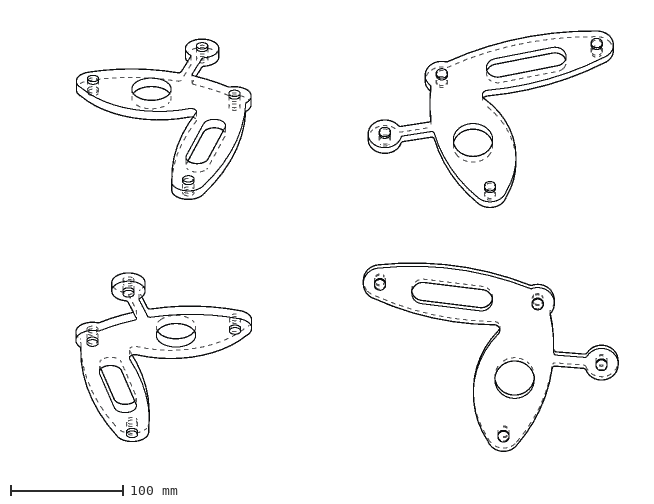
import cadquery as cq
import math

LEFT_PIN = (0, 0)
TOP_PIN = (80.0, 100.0)
RIGHT_PIN = (180.2, 0)
ARM_PIN = (0, 110.0)

PLATE_THICKNESS = 9.2
PIN_LENGTH = 15.0
PIN_DIAMETER = 10.0
END_RADIUS = 15.0

LEFT_OUTER_RADIUS = 144.7
LEFT_OUTER_ANGLE = -12.8
LEFT_INNER_RADIUS = 82.7
LEFT_INNER_ANGLE = 92.5
RIGHT_OUTER_RADIUS = 270.5
RIGHT_OUTER_ANGLE = 211
RIGHT_INNER_RADIUS = 253.5
RIGHT_INNER_ANGLE = 63.4
LEFT_INNER_INSET = 0.5
RIGHT_INNER_INSET = 0.1

ARM_WIDTH = 10.5
ARM_OVERLAP = 8.5
HOLE_CENTER = (35.7, 40)
HOLE_DIAMETER = 35.0
SLOT_START = (113.0, 62.0)
SLOT_END = (150.0, 25.0)
SLOT_WIDTH = 20.0
ARM_FILLET = 2.5
NOTCH_FILLET = 5.0
SHOULDER_FILLET = 1.0


def polar(center, radius, angle):
    """Point at a distance and angle (degrees) from a centre."""
    turn = math.radians(angle)
    return (center[0] + radius * math.cos(turn), center[1] + radius * math.sin(turn))


def direction(start, end):
    """Angle in degrees of the line from start to end."""
    return math.degrees(math.atan2(end[1] - start[1], end[0] - start[0]))


def crossing(center_a, radius_a, center_b, radius_b):
    """The crossing of two circles that lies left of the line from a to b."""
    gap = math.dist(center_a, center_b)
    along = (radius_a**2 - radius_b**2 + gap**2) / (2 * gap)
    turn = math.degrees(math.acos(along / radius_a))
    return polar(center_a, radius_a, direction(center_a, center_b) + turn)


def arc_middle(center, radius, start, end):
    """Middle point of the shorter arc from start to end."""
    chord_middle = ((start[0] + end[0]) / 2, (start[1] + end[1]) / 2)
    return polar(center, radius, direction(center, chord_middle))


left_outer = polar(LEFT_PIN, LEFT_OUTER_RADIUS - END_RADIUS, LEFT_OUTER_ANGLE)
left_inner = polar(LEFT_PIN, LEFT_INNER_RADIUS - END_RADIUS + LEFT_INNER_INSET, LEFT_INNER_ANGLE)
right_outer = polar(RIGHT_PIN, RIGHT_OUTER_RADIUS - END_RADIUS, RIGHT_OUTER_ANGLE)
right_inner = polar(RIGHT_PIN, RIGHT_INNER_RADIUS - END_RADIUS + RIGHT_INNER_INSET, RIGHT_INNER_ANGLE)

left_shoulder = crossing(left_outer, LEFT_OUTER_RADIUS, TOP_PIN, END_RADIUS)
right_shoulder = crossing(TOP_PIN, END_RADIUS, right_outer, RIGHT_OUTER_RADIUS)
notch = crossing(right_inner, RIGHT_INNER_RADIUS, left_inner, LEFT_INNER_RADIUS)

arm_angle = direction(left_outer, ARM_PIN)
arm_reach = math.dist(left_outer, ARM_PIN)


def arm_point(distance, side):
    """Point on one side of the arm (-1 or 1), measured along it from the left outer centre."""
    return polar(polar(left_outer, distance, arm_angle), side * ARM_WIDTH / 2, arm_angle + 90)


def disc(center, diameter, height):
    """Upright cylinder centred on the middle plane of the plate."""
    base = cq.Workplane("XY", origin=(*center, -height / 2))
    return base.circle(diameter / 2).extrude(height)


def plate_base():
    """Workplane on the underside of the plate."""
    return cq.Workplane("XY", origin=(0, 0, -PLATE_THICKNESS / 2))


def make_body_blank():
    """Two curved legs joined at the top round end."""
    left_outer_end = polar(LEFT_PIN, END_RADIUS, LEFT_OUTER_ANGLE + 180)
    left_inner_end = crossing(left_inner, LEFT_INNER_RADIUS, LEFT_PIN, END_RADIUS)
    right_outer_end = polar(RIGHT_PIN, END_RADIUS, RIGHT_OUTER_ANGLE + 180)
    right_inner_end = crossing(RIGHT_PIN, END_RADIUS, right_inner, RIGHT_INNER_RADIUS)
    arcs = [
        (left_outer, LEFT_OUTER_RADIUS, left_shoulder),
        (TOP_PIN, END_RADIUS, right_shoulder),
        (right_outer, RIGHT_OUTER_RADIUS, right_outer_end),
        (RIGHT_PIN, END_RADIUS, right_inner_end),
        (right_inner, RIGHT_INNER_RADIUS, notch),
        (left_inner, LEFT_INNER_RADIUS, left_inner_end),
        (LEFT_PIN, END_RADIUS, left_outer_end),
    ]
    start = left_outer_end
    outline = plate_base().moveTo(*start)
    for center, radius, end in arcs:
        outline = outline.threePointArc(arc_middle(center, radius, start, end), end)
        start = end
    return outline.close().extrude(PLATE_THICKNESS)


def make_arm():
    """Narrow bar with a round end."""
    root = LEFT_OUTER_RADIUS - ARM_OVERLAP
    corners = [
        arm_point(root, -1),
        arm_point(arm_reach, -1),
        arm_point(arm_reach, 1),
        arm_point(root, 1),
    ]
    bar = plate_base().polyline(corners).close().extrude(PLATE_THICKNESS)
    return bar.union(disc(ARM_PIN, 2 * END_RADIUS, PLATE_THICKNESS))


def fillet_corner(body, point, radius):
    """Round the upright edge at a corner of the outline."""
    return body.edges("|Z").edges(cq.NearestToPointSelector((*point, 0))).fillet(radius)


def make_openings():
    """Round hole and slanted slot, as solids to cut away."""
    hole = disc(HOLE_CENTER, HOLE_DIAMETER, PLATE_THICKNESS)
    slot_middle = ((SLOT_START[0] + SLOT_END[0]) / 2, (SLOT_START[1] + SLOT_END[1]) / 2)
    slot_length = math.dist(SLOT_START, SLOT_END) + SLOT_WIDTH
    slot_angle = direction(SLOT_START, SLOT_END)
    slot_outline = plate_base().pushPoints([slot_middle]).slot2D(slot_length, SLOT_WIDTH, slot_angle)
    slot = slot_outline.extrude(PLATE_THICKNESS)
    return hole.union(slot)


def make_pin(position):
    return disc(position, PIN_DIAMETER, PIN_LENGTH)


def make_plate(pins):
    plate = make_body_blank().union(make_arm())
    half_width = ARM_WIDTH / 2
    arm_root = math.sqrt(LEFT_OUTER_RADIUS**2 - half_width**2)
    arm_tip = arm_reach - math.sqrt(END_RADIUS**2 - half_width**2)
    for side in (-1, 1):
        plate = fillet_corner(plate, arm_point(arm_root, side), ARM_FILLET)
        plate = fillet_corner(plate, arm_point(arm_tip, side), ARM_FILLET)
    for shoulder in (left_shoulder, right_shoulder):
        plate = fillet_corner(plate, shoulder, SHOULDER_FILLET)
    plate = fillet_corner(plate, notch, NOTCH_FILLET)
    plate = plate.cut(make_openings())
    for pin in pins:
        plate = plate.cut(pin)
    return plate


pins = [make_pin(position) for position in (LEFT_PIN, TOP_PIN, RIGHT_PIN, ARM_PIN)]
plate = make_plate(pins)

result = cq.Compound.makeCompound([*plate.solids().vals(), *[pin.val() for pin in pins]])